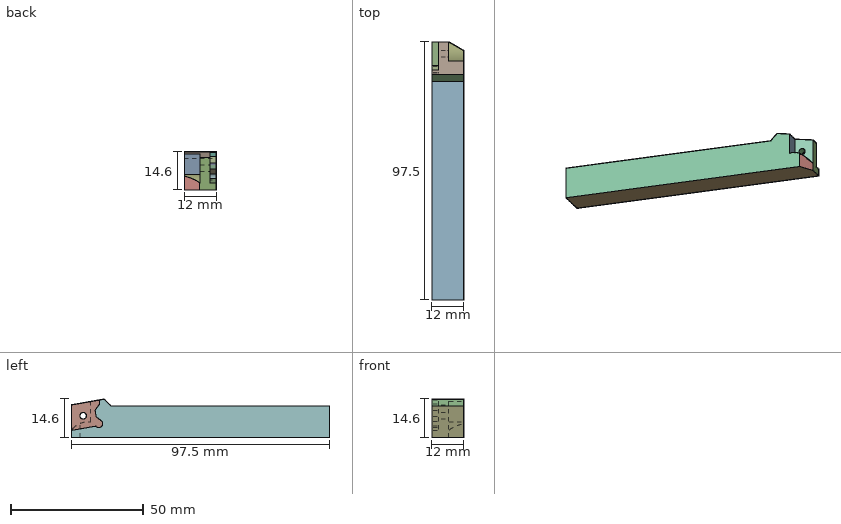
import cadquery as cq
import math

length = 97.5
width = 12.0
shank_height = 12.0
head_height = 14.62

ramp_end_from_tip = 15.0
rake_angle = math.radians(10.0)
rake_slope = math.tan(rake_angle)
apex_from_tip = ramp_end_from_tip - (head_height - shank_height)
tip_height = head_height - apex_from_tip * rake_slope

seat_depth = 2.45
seat_floor_at_tip = 2.75
seat_floor_length = 9.25
relief_center = (10.5, 5.3)
relief_radius = 1.4
relief_low_angle = -60.0
relief_end_angle = 40.0
lower_flank_top = (9.3, 8.0)
back_stop_top = (9.2, 9.5)
back_stop_corner = (8.95, 10.3)
upper_flank_top = (10.7, 12.75)

hole_diameter = 2.4
hole_from_tip = 4.5
hole_height = 8.3

blade_thickness = 6.15
clearance_length = 7.35
clearance_floor_radius = 8.0
clearance_crest_from_tip = 6.4
clearance_crest_height = 6.0

slant_start_x = 6.3
slant_angle = math.radians(30.0)

cut_overlap = 1.0


def at(from_tip, z):
    """Point in the YZ plane given by its distance back from the tip."""
    return (length - from_tip, z)


def on_relief(angle):
    """Point on the relief circle; zero degrees points back from the tip."""
    a = math.radians(angle)
    center_from_tip, center_z = relief_center
    return at(center_from_tip + relief_radius * math.cos(a), center_z + relief_radius * math.sin(a))


def make_body():
    return (
        cq.Workplane("YZ")
        .moveTo(0, 0)
        .lineTo(length, 0)
        .lineTo(length, tip_height)
        .lineTo(*at(apex_from_tip, head_height))
        .lineTo(*at(ramp_end_from_tip, shank_height))
        .lineTo(0, shank_height)
        .close()
        .extrude(width)
    )


def make_insert_seat():
    seat_floor_end = at(seat_floor_length, seat_floor_at_tip + seat_floor_length * rake_slope)
    seat_top = head_height + cut_overlap
    front = -cut_overlap
    return (
        cq.Workplane("YZ")
        .moveTo(*at(front, seat_floor_at_tip + front * rake_slope))
        .lineTo(*seat_floor_end)
        .threePointArc(on_relief(relief_low_angle), on_relief(relief_end_angle))
        .lineTo(*at(*lower_flank_top))
        .lineTo(*at(*back_stop_top))
        .lineTo(*at(*back_stop_corner))
        .lineTo(*at(*upper_flank_top))
        .lineTo(*at(upper_flank_top[0], seat_top))
        .lineTo(*at(front, seat_top))
        .close()
        .extrude(seat_depth)
    )


def make_hole():
    return (
        cq.Workplane("YZ")
        .center(*at(hole_from_tip, hole_height))
        .circle(hole_diameter / 2)
        .extrude(width)
    )


def make_side_clearance():
    depth = width - blade_thickness
    pocket = (
        cq.Workplane("XY")
        .box(depth, clearance_length, head_height, centered=False)
        .translate((blade_thickness, length - clearance_length, 0))
    )
    floor = (
        cq.Workplane("YZ", origin=(blade_thickness, 0, 0))
        .center(*at(clearance_crest_from_tip, clearance_crest_height - clearance_floor_radius))
        .circle(clearance_floor_radius)
        .extrude(depth)
    )
    return pocket.cut(floor)


def make_end_slant():
    run = width - slant_start_x
    return (
        cq.Workplane("XY")
        .moveTo(slant_start_x, length)
        .lineTo(width, length)
        .lineTo(width, length - run * math.tan(slant_angle))
        .close()
        .extrude(head_height)
    )


result = (
    make_body()
    .cut(make_insert_seat())
    .cut(make_hole())
    .cut(make_side_clearance())
    .cut(make_end_slant())
)